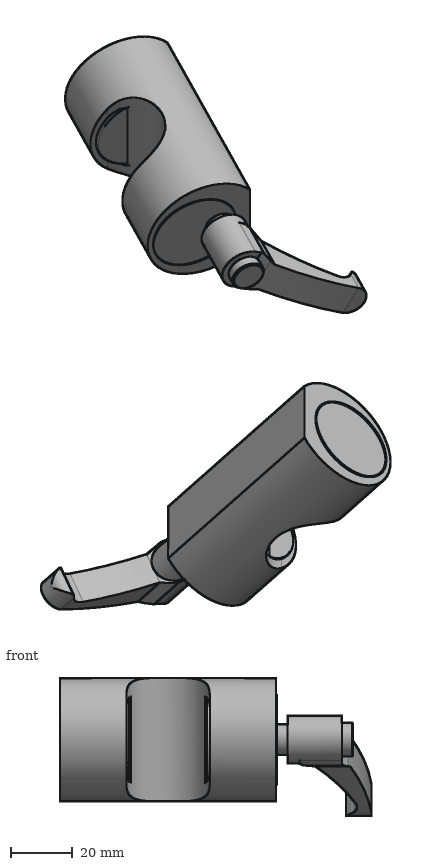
import cadquery as cq
import math

BODY_LENGTH = 70.1
BODY_RADIUS = 20.0
FLAT_Y = 16.0

SLOT_X = BODY_LENGTH / 2
SLOT_RADIUS = 13.5
SLOT_CENTER_Y = -13.9

INSERT_RADIUS = 29.0 / 2
INSERT_Y = -3.5
INSERT_GAP = 25.2
BORE_GAP = 23.9
INSERT_EDGE_FILLET = 0.5
INSERT_OVERHANG = 0.3
INSERT_END_X = BODY_LENGTH + INSERT_OVERHANG
JOINT_WIDTH = 0.2
JOINT_DEPTH = 0.3

LEVER_AXIS_Y = 5.2
NECK_RADIUS = 5.0
HUB_START_X = 73.8
HUB_END_X = 91.4
HUB_RADIUS = 7.8
HEAD_END_X = 95.0
HEAD_RADIUS = 11.0 / 2
HEAD_CHAMFER = 0.4

LEVER_TILT = 30.0
ARM_REACH = 44.0
ARM_HALF_WIDTH = 5.6
TIP_CENTER = ARM_REACH - ARM_HALF_WIDTH
ROOT_START = 2.2
ROOT_END = 3.3
TAPER_END = 7.8
STEP_START = 2.4
ARM_START_X = 77.6
ARM_OUTER_X = 101.0
TIP_INNER_X = 92.7
TIP_FILLET = 3.9

ROOT_BLEND_MIDDLE = (81.0, 5.3)
UNDERSIDE_START = (82.8, TAPER_END)
UNDERSIDE_MIDDLE = (89.3, 17.8)
HOOK_START = (96.1, 32.3)
HOOK_MIDDLE = (96.1, 35.9)
HOOK_END = (94.1, 38.5)
HOOK_LIP = (93.3, 39.3)
LIP_MIDDLE = (92.9, 39.7)
OUTER_EDGE_MIDDLE = (98.8, 23.6)
OUTER_EDGE_END = (93.4, 6.1)


def cylinder_x(start_x, end_x, radius, y):
    """Solid cylinder parallel to X, centred at height Z = 0."""
    return cq.Workplane("YZ", origin=(start_x, y, 0)).circle(radius).extrude(end_x - start_x)


def make_body():
    bar = cylinder_x(0, BODY_LENGTH, BODY_RADIUS, 0)
    height = 2 * BODY_RADIUS
    kept = cq.Workplane("XY").box(BODY_LENGTH, BODY_RADIUS + FLAT_Y, height, centered=(False, False, True))
    bar = bar.intersect(kept.translate((0, -BODY_RADIUS, 0)))
    round_end = cq.Workplane("XY", origin=(SLOT_X, SLOT_CENTER_Y, -BODY_RADIUS)).circle(SLOT_RADIUS)
    slot = round_end.extrude(height)
    mouth = cq.Workplane("XY").box(2 * SLOT_RADIUS, BODY_RADIUS, height, centered=(True, False, True))
    slot = slot.union(mouth.translate((SLOT_X, SLOT_CENTER_Y - BODY_RADIUS, 0)))
    return bar.cut(slot)


def plug_pair(gap, end_x):
    """Two coaxial plugs, from X = 0 and from end_x, that stop short of each other by gap."""
    left = cylinder_x(0, SLOT_X - gap / 2, INSERT_RADIUS, INSERT_Y)
    right = cylinder_x(SLOT_X + gap / 2, end_x, INSERT_RADIUS, INSERT_Y)
    return left, right


def add_inserts(body):
    for bore in plug_pair(BORE_GAP, BODY_LENGTH):
        body = body.cut(bore)
    left, right = plug_pair(INSERT_GAP, INSERT_END_X)
    left = left.faces(">X").edges().fillet(INSERT_EDGE_FILLET)
    return body.union(left).union(right)


def make_joint_groove():
    """Fine ring groove around the insert in the -X end face."""
    outer = cylinder_x(0, JOINT_DEPTH, INSERT_RADIUS + JOINT_WIDTH, INSERT_Y)
    return outer.cut(cylinder_x(0, JOINT_DEPTH, INSERT_RADIUS, INSERT_Y))


def make_screw_and_hub():
    neck = cylinder_x(BODY_LENGTH, HUB_START_X, NECK_RADIUS, LEVER_AXIS_Y)
    hub = cylinder_x(HUB_START_X, HUB_END_X, HUB_RADIUS, LEVER_AXIS_Y)
    head = cylinder_x(HUB_END_X, HEAD_END_X, HEAD_RADIUS, LEVER_AXIS_Y).faces(">X").chamfer(HEAD_CHAMFER)
    return neck.union(hub).union(head)


def make_arm():
    """Lever arm pointing along +Y from the origin, then tilted into place on the hub."""
    fillet_center = ARM_REACH - TIP_FILLET
    fillet_middle = TIP_FILLET * math.sin(math.radians(45))
    side = (
        cq.Workplane("XY", origin=(0, 0, -HUB_RADIUS))
        .moveTo(ARM_START_X, 0)
        .lineTo(ARM_START_X, ROOT_START)
        .threePointArc(ROOT_BLEND_MIDDLE, UNDERSIDE_START)
        .threePointArc(UNDERSIDE_MIDDLE, HOOK_START)
        .threePointArc(HOOK_MIDDLE, HOOK_END)
        .lineTo(*HOOK_LIP)
        .threePointArc(LIP_MIDDLE, (TIP_INNER_X, fillet_center))
        .threePointArc(
            (TIP_INNER_X + TIP_FILLET - fillet_middle, fillet_center + fillet_middle),
            (TIP_INNER_X + TIP_FILLET, ARM_REACH),
        )
        .lineTo(ARM_OUTER_X, ARM_REACH)
        .lineTo(ARM_OUTER_X, TIP_CENTER)
        .threePointArc(OUTER_EDGE_MIDDLE, OUTER_EDGE_END)
        .lineTo(HUB_END_X, STEP_START)
        .lineTo(HUB_END_X, 0)
        .close()
        .extrude(2 * HUB_RADIUS)
    )
    width = (
        cq.Workplane("YZ")
        .moveTo(0, -HUB_RADIUS)
        .lineTo(ROOT_END, -HUB_RADIUS)
        .lineTo(TAPER_END, -ARM_HALF_WIDTH)
        .lineTo(TIP_CENTER, -ARM_HALF_WIDTH)
        .threePointArc((ARM_REACH, 0), (TIP_CENTER, ARM_HALF_WIDTH))
        .lineTo(TAPER_END, ARM_HALF_WIDTH)
        .lineTo(ROOT_END, HUB_RADIUS)
        .lineTo(0, HUB_RADIUS)
        .close()
        .extrude(ARM_OUTER_X)
    )
    arm = side.intersect(width)
    return arm.rotate((0, 0, 0), (1, 0, 0), -LEVER_TILT).translate((0, LEVER_AXIS_Y, 0))


body = add_inserts(make_body()).cut(make_joint_groove())
result = body.union(make_screw_and_hub()).union(make_arm())